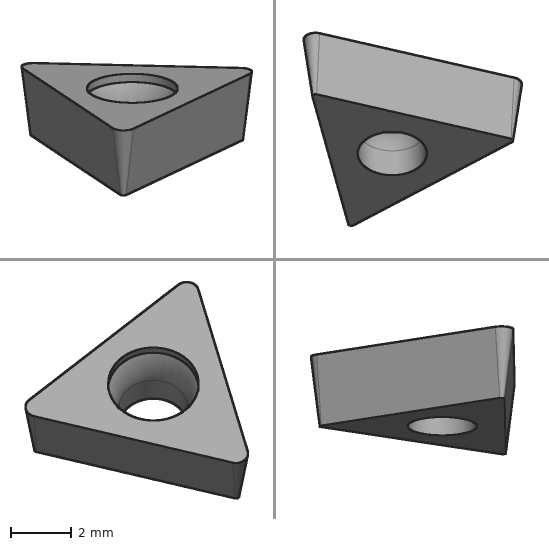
import cadquery as cq
import math

corner_radius = 0.4
overall_width = 7.66
thickness = 2.38
clearance_angle = 7.0

mouth_radius = 1.5
bore_radius = 1.15
mouth_depth = 0.29
seat_depth = 1.35

corner_spacing = overall_width - 2 * corner_radius
corner_distance = corner_spacing / math.sqrt(3)


def make_plate():
    """Rounded triangle, narrowing downwards with conical corners."""
    inscribed_radius = corner_distance / 2 + corner_radius
    sharp_corner_distance = 2 * inscribed_radius
    top_outline = (
        cq.Sketch()
        .regularPolygon(sharp_corner_distance, 3)
        .vertices()
        .fillet(corner_radius)
    )
    return (
        cq.Workplane("XY")
        .workplane(offset=thickness)
        .placeSketch(top_outline)
        .extrude(-thickness, taper=clearance_angle)
    )


def make_hole():
    """Revolved cutter: straight mouth, convex seat, straight bore."""
    mouth_floor = thickness - mouth_depth
    seat_floor = thickness - seat_depth
    seat_height = mouth_floor - seat_floor
    seat_width = mouth_radius - bore_radius
    seat_radius = (seat_height**2 + seat_width**2) / (2 * seat_width)
    half_sweep = math.asin(seat_height / seat_radius) / 2
    seat_middle = (
        bore_radius + seat_radius * (1 - math.cos(half_sweep)),
        seat_floor + seat_radius * math.sin(half_sweep),
    )
    return (
        cq.Workplane("XZ")
        .moveTo(0, 0)
        .lineTo(bore_radius, 0)
        .lineTo(bore_radius, seat_floor)
        .threePointArc(seat_middle, (mouth_radius, mouth_floor))
        .lineTo(mouth_radius, thickness)
        .lineTo(0, thickness)
        .close()
        .revolve(360, (0, 0, 0), (0, 1, 0))
    )


result = make_plate().cut(make_hole())